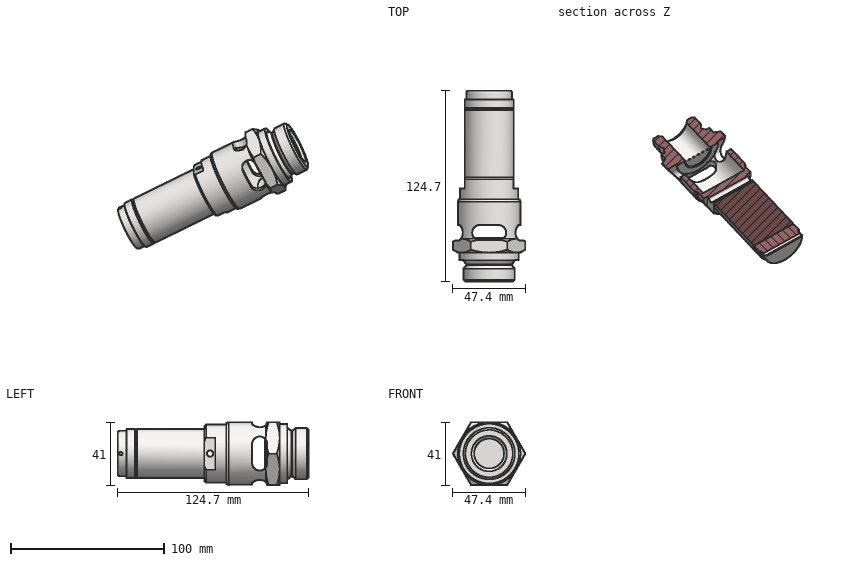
import cadquery as cq
import math

LENGTH = 124.7

THREAD_RADIUS = 16.8
THREAD_CHAMFER = 1.4
THREAD_END_Y = 8.5
GROOVE_RADIUS = 15.1
GROOVE_KNEE_RADIUS = 15.5
GROOVE_KNEE_Y = 10.0
GROOVE_FLOOR_START_Y = 10.7
GROOVE_FLOOR_END_Y = 11.3
COLLAR_RADIUS = 19.5
COLLAR_START_Y = 14.0

HEX_START_Y = 19.0
HEX_END_Y = 27.9
HEX_CORNER_RADIUS = 23.7
HEX_FLAT_RADIUS = HEX_CORNER_RADIUS * math.cos(math.radians(30))
HEX_CHAMFER_ANGLE = 30.0

BARREL_RADIUS = HEX_FLAT_RADIUS
BARREL_END_Y = 53.7
BARREL_CHAMFER_WIDTH = 0.5
BARREL_CHAMFER_LENGTH = 1.5
CAVITY_RADIUS = 16.5
CAVITY_FLOOR_Y = HEX_END_Y
CAVITY_END_Y = 56.6
WINDOW_LENGTH = 22.1
WINDOW_WIDTH = 10.0
WINDOW_Y = 31.9
WINDOW_ANGLES = (0, 90, 180, 270)

BORE_RADIUS = 9.7
BORE_CHAMFER = 1.9
DISC_RADIUS = 10.6
DISC_THICKNESS = 0.7

SHOULDER_RADIUS = 19.1
SHOULDER_END_Y = 68.1
SHOULDER_CHAMFER = 1.1
WRENCH_FLAT_X = 16.0
WRENCH_FLAT_START_Y = 60.9
DRAIN_HOLE_RADIUS = 2.0
DRAIN_HOLE_Y = 64.3

TUBE_RADIUS = 16.1

CAP_START_Y = 112.7
JOINT_CHAMFER_DEPTH = 0.4
JOINT_CHAMFER_LENGTH = 0.7
CAP_STEP_Y = 119.1
CAP_TOP_RADIUS = 15.0
CAP_STEP_CHAMFER = 0.4
CAP_FILLET = 1.5
SEAL_HOLE_RADIUS = 1.0
SEAL_HOLE_Y = 122.6


def turned(points):
    """Solid of revolution about Y from (radius, y) points."""
    return cq.Workplane("XY").polyline(points).close().revolve(360, (0, 0), (0, 1))


def cylinder(radius, start_y, end_y):
    """Cylinder on the Y axis between two heights."""
    return turned([(0, start_y), (radius, start_y), (radius, end_y), (0, end_y)])


def cross_hole(radius, y, reach):
    """Pin along X, centred on the valve axis, used to drill straight through."""
    return cq.Workplane("YZ").center(y, 0).circle(radius).extrude(reach, both=True)


def make_hexagon():
    """Hexagon with corners on the X axis and both ends chamfered."""
    prism = (
        cq.Workplane("XZ", origin=(0, HEX_START_Y, 0))
        .polygon(6, 2 * HEX_CORNER_RADIUS)
        .extrude(HEX_START_Y - HEX_END_Y)
    )
    slope = math.tan(math.radians(HEX_CHAMFER_ANGLE))
    chamfer_height = (HEX_CORNER_RADIUS - HEX_FLAT_RADIUS) * slope
    envelope = turned([
        (0, HEX_START_Y),
        (HEX_FLAT_RADIUS, HEX_START_Y),
        (HEX_CORNER_RADIUS, HEX_START_Y + chamfer_height),
        (HEX_CORNER_RADIUS, HEX_END_Y - chamfer_height),
        (HEX_FLAT_RADIUS, HEX_END_Y),
        (0, HEX_END_Y),
    ])
    return prism.intersect(envelope)


def make_inlet_end():
    """Thread blank, relief groove and collar below the hexagon."""
    return turned([
        (0, 0),
        (THREAD_RADIUS - THREAD_CHAMFER, 0),
        (THREAD_RADIUS, THREAD_CHAMFER),
        (THREAD_RADIUS, THREAD_END_Y),
        (GROOVE_KNEE_RADIUS, GROOVE_KNEE_Y),
        (GROOVE_RADIUS, GROOVE_FLOOR_START_Y),
        (GROOVE_RADIUS, GROOVE_FLOOR_END_Y),
        (THREAD_RADIUS, COLLAR_START_Y),
        (COLLAR_RADIUS, COLLAR_START_Y),
        (COLLAR_RADIUS, HEX_START_Y),
        (0, HEX_START_Y),
    ])


def make_barrel():
    """Round outlet part above the hexagon, ending in a narrower shoulder."""
    return turned([
        (0, HEX_END_Y),
        (BARREL_RADIUS, HEX_END_Y),
        (BARREL_RADIUS, BARREL_END_Y - BARREL_CHAMFER_LENGTH),
        (BARREL_RADIUS - BARREL_CHAMFER_WIDTH, BARREL_END_Y),
        (SHOULDER_RADIUS, BARREL_END_Y),
        (SHOULDER_RADIUS, SHOULDER_END_Y - SHOULDER_CHAMFER),
        (SHOULDER_RADIUS - SHOULDER_CHAMFER, SHOULDER_END_Y),
        (0, SHOULDER_END_Y),
    ])


def make_wrench_flat(side):
    """Tool that mills one flat on the shoulder, on the +X or -X side."""
    length = SHOULDER_END_Y - WRENCH_FLAT_START_Y
    depth = SHOULDER_RADIUS - WRENCH_FLAT_X
    return cq.Workplane("XY").box(depth, length, 2 * SHOULDER_RADIUS).translate(
        (side * (WRENCH_FLAT_X + depth / 2), WRENCH_FLAT_START_Y + length / 2, 0)
    )


def make_window(angle):
    """Tool for one slotted window through the cavity wall, turned about Y by the given angle."""
    return (
        cq.Workplane("XY", origin=(0, WINDOW_Y, WINDOW_LENGTH / 2))
        .slot2D(WINDOW_LENGTH, WINDOW_WIDTH)
        .extrude(HEX_CORNER_RADIUS)
        .cut(cylinder(CAVITY_RADIUS, HEX_START_Y, BARREL_END_Y))
        .rotate((0, 0, 0), (0, 1, 0), angle)
    )


def make_housing():
    """Inlet thread, hexagon, outlet barrel and shoulder in one piece."""
    bore = turned([
        (0, 0),
        (BORE_RADIUS + BORE_CHAMFER, 0),
        (BORE_RADIUS, BORE_CHAMFER),
        (BORE_RADIUS, CAVITY_FLOOR_Y),
        (0, CAVITY_FLOOR_Y),
    ])
    housing = make_inlet_end().union(make_hexagon()).union(make_barrel())
    housing = housing.cut(bore).cut(cylinder(CAVITY_RADIUS, CAVITY_FLOOR_Y, CAVITY_END_Y))
    for angle in WINDOW_ANGLES:
        housing = housing.cut(make_window(angle))
    for side in (-1, 1):
        housing = housing.cut(make_wrench_flat(side))
    return housing.cut(cross_hole(DRAIN_HOLE_RADIUS, DRAIN_HOLE_Y, SHOULDER_RADIUS))


def make_disc():
    """Flat disc that lies on the cavity floor and closes the bore."""
    return cylinder(DISC_RADIUS, CAVITY_FLOOR_Y, CAVITY_FLOOR_Y + DISC_THICKNESS)


def make_bonnet():
    """Spring bonnet standing on the shoulder, chamfered at the joint with the cap."""
    return turned([
        (0, SHOULDER_END_Y),
        (TUBE_RADIUS, SHOULDER_END_Y),
        (TUBE_RADIUS, CAP_START_Y - JOINT_CHAMFER_LENGTH),
        (TUBE_RADIUS - JOINT_CHAMFER_DEPTH, CAP_START_Y),
        (0, CAP_START_Y),
    ])


def make_cap():
    """Stepped cap with a rounded end and a seal wire hole."""
    cap = turned([
        (0, CAP_START_Y),
        (TUBE_RADIUS - JOINT_CHAMFER_DEPTH, CAP_START_Y),
        (TUBE_RADIUS, CAP_START_Y + JOINT_CHAMFER_LENGTH),
        (TUBE_RADIUS, CAP_STEP_Y - CAP_STEP_CHAMFER),
        (TUBE_RADIUS - CAP_STEP_CHAMFER, CAP_STEP_Y),
        (CAP_TOP_RADIUS, CAP_STEP_Y),
        (CAP_TOP_RADIUS, LENGTH),
        (0, LENGTH),
    ])
    cap = cap.faces(">Y").edges().fillet(CAP_FILLET)
    return cap.cut(cross_hole(SEAL_HOLE_RADIUS, SEAL_HOLE_Y, TUBE_RADIUS))


housing = make_housing()
disc = make_disc()
bonnet = make_bonnet()
cap = make_cap()

result = cq.Compound.makeCompound([housing.val(), disc.val(), bonnet.val(), cap.val()])